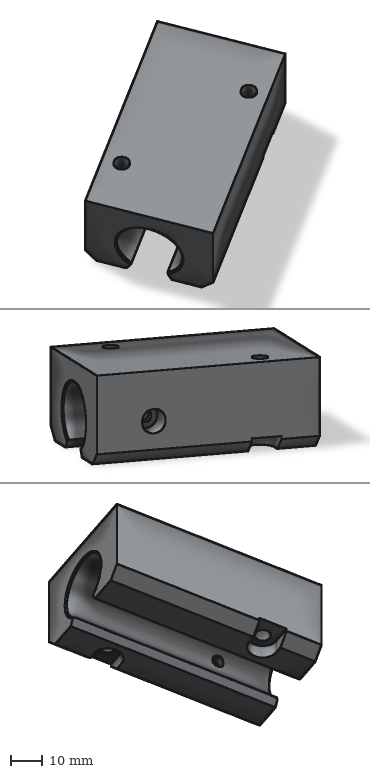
import cadquery as cq
import math

width = 43.0
length = 76
height = 30.0
edge_chamfer_width = 3.95
edge_chamfer_height = 4.1

bore_diameter = 22.0
bore_chamfer = 0.5
bore_height = 12.0
mouth_half_width = 7.7
mouth_half_angle = 30

mount_hole_diameter = 5.2
mount_side_offset = 6.5
mount_end_offset = 18.0
relief_width = 10.0
relief_depth = 5.1

side_hole_diameter = 4.0
side_counterbore_diameter = 8.0
side_counterbore_depth = 8.0
side_hole_end_offset = 19.45
side_hole_height = 13.45

bore_radius = bore_diameter / 2
half_width = width / 2
half_length = length / 2


def make_block():
    bottom_half_width = half_width - edge_chamfer_width
    return (
        cq.Workplane("XZ")
        .moveTo(-bottom_half_width, 0)
        .lineTo(bottom_half_width, 0)
        .lineTo(half_width, edge_chamfer_height)
        .lineTo(half_width, height)
        .lineTo(-half_width, height)
        .lineTo(-half_width, edge_chamfer_height)
        .close()
        .extrude(half_length, both=True)
    )


def make_bore():
    bore = (
        cq.Workplane("XZ")
        .center(0, bore_height)
        .circle(bore_radius)
        .extrude(half_length, both=True)
    )
    for end in (-1, 1):
        cone = cq.Solid.makeCone(
            bore_radius + bore_chamfer,
            bore_radius,
            bore_chamfer,
            cq.Vector(0, end * half_length, bore_height),
            cq.Vector(0, -end, 0),
        )
        bore = bore.union(cone)
    return bore


def make_mouth():
    apex_height = mouth_half_width / math.tan(math.radians(mouth_half_angle))
    return (
        cq.Workplane("XZ")
        .polyline([(-mouth_half_width, 0), (mouth_half_width, 0), (0, apex_height)])
        .close()
        .extrude(half_length, both=True)
    )


def make_mounting_hole(side):
    """Through hole with a round-ended relief open to the nearest side."""
    x = side * (half_width - mount_side_offset)
    y = side * (half_length - mount_end_offset)
    hole = cq.Workplane("XY").center(x, y).circle(mount_hole_diameter / 2).extrude(height)
    round_end = cq.Workplane("XY").center(x, y).circle(relief_width / 2).extrude(relief_depth)
    side_opening = (
        cq.Workplane("XY")
        .center(x + side * mount_side_offset / 2, y)
        .rect(mount_side_offset, relief_width)
        .extrude(relief_depth)
    )
    return hole.union(round_end).union(side_opening)


def make_side_hole():
    face = cq.Workplane(
        "YZ", origin=(-half_width, half_length - side_hole_end_offset, side_hole_height)
    )
    hole = face.circle(side_hole_diameter / 2).extrude(half_width)
    counterbore = face.circle(side_counterbore_diameter / 2).extrude(side_counterbore_depth)
    return hole.union(counterbore)


result = make_block().cut(make_bore()).cut(make_mouth()).cut(make_side_hole())
for side in (-1, 1):
    result = result.cut(make_mounting_hole(side))